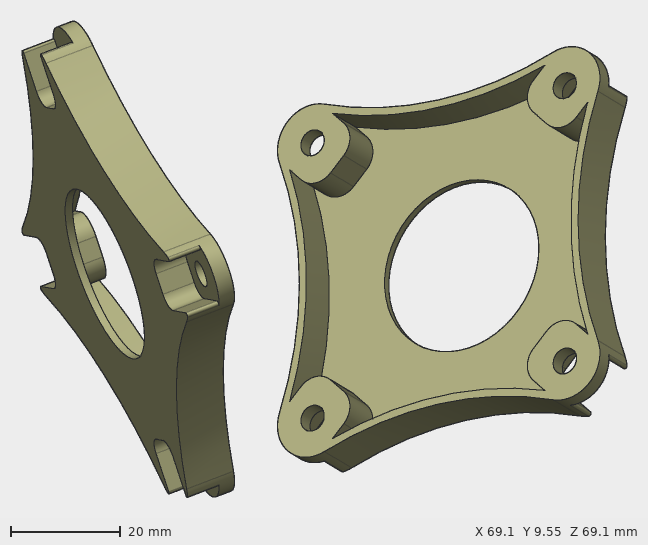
import cadquery as cq
import math

width = 69.1
thickness = 9.55
lug_radius = 7.5
lug_offset = width / 2 - lug_radius
waist = 29.85

skin = 1.5
wall = 1.5

bore_diameter = 33.05
screw_diameter = 5.0

lug_floor = 3.2
pocket_depth = thickness - lug_floor
pocket_half_width = 5.0
pocket_reach = 5.95
pocket_corner_radius = 3.0
pocket_overrun = 2 * lug_radius
tip_radius = 0.5

side_rise = waist - lug_offset
side_radius = (lug_offset**2 + side_rise**2 - lug_radius**2) / (2 * (lug_radius - side_rise))
tangent_ratio = lug_radius / (side_radius + lug_radius)
tangent_x = lug_offset * (1 - tangent_ratio)
tangent_z = lug_offset + (side_radius + side_rise) * tangent_ratio
lug_diagonal = lug_offset + lug_radius / math.sqrt(2)

corner_angles = [45 + 90 * i for i in range(4)]


def turn(x, z, angle):
    """Rotate a point of the XZ plane about the plate centre."""
    a = math.radians(angle)
    return (x * math.cos(a) - z * math.sin(a), x * math.sin(a) + z * math.cos(a))


def plane_at(depth):
    """Plane facing the back (+Y), at a depth behind the front face."""
    return cq.Workplane(cq.Plane((0, depth, 0), xDir=(-1, 0, 0), normal=(0, 1, 0)))


def outline(depth):
    """Four concave sides joined by round lugs."""
    path = plane_at(depth).moveTo(tangent_x, tangent_z)
    for angle in (0, 90, 180, 270):
        path = path.threePointArc(turn(0, waist, angle), turn(-tangent_x, tangent_z, angle))
        path = path.threePointArc(
            turn(-lug_diagonal, lug_diagonal, angle), turn(-tangent_z, tangent_x, angle)
        )
    return path.close()


def pocket_block(angle, depth, margin=0.0):
    """Round-ended pocket volume from the front face, grown sideways by a margin."""
    lug_distance = lug_offset * math.sqrt(2)
    inner = lug_distance - pocket_reach - margin
    outer = lug_distance + pocket_overrun
    block = (
        plane_at(0)
        .center((inner + outer) / 2, 0)
        .rect(outer - inner, 2 * (pocket_half_width + margin))
        .extrude(depth)
        .edges("|Y")
        .fillet(pocket_corner_radius + margin)
    )
    return block.rotate((0, 0, 0), (0, 1, 0), angle)


def hollow():
    """Space behind the front skin, leaving a rim and a wall around each pocket."""
    space = outline(skin).offset2D(-wall).extrude(thickness - skin)
    for angle in corner_angles:
        space = space.cut(pocket_block(angle, thickness, wall))
    return space


def round_pocket_tips(body):
    """Round the sharp edges where the pocket sides break through the lug outline."""
    along = lug_offset * math.sqrt(2) + math.sqrt(lug_radius**2 - pocket_half_width**2)
    reach = 0.35
    for angle in corner_angles:
        for side in (-1, 1):
            x, z = turn(along, side * pocket_half_width, angle)
            near_tip = cq.selectors.BoxSelector(
                (x - reach, 0, z - reach), (x + reach, pocket_depth, z + reach)
            )
            body = body.edges("|Y").edges(near_tip).fillet(tip_radius)
    return body


body = outline(0).extrude(thickness)
for corner_angle in corner_angles:
    body = body.cut(pocket_block(corner_angle, pocket_depth))
body = round_pocket_tips(body)
body = body.cut(hollow())

bore = plane_at(0).circle(bore_diameter / 2).extrude(thickness)
screw_holes = (
    plane_at(0)
    .rect(2 * lug_offset, 2 * lug_offset, forConstruction=True)
    .vertices()
    .circle(screw_diameter / 2)
    .extrude(thickness)
)
result = body.cut(bore).cut(screw_holes)